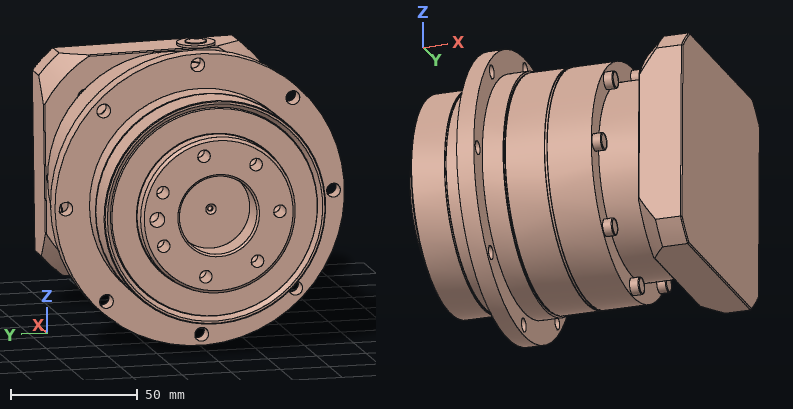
import cadquery as cq
import math

ROLL_ANGLE = 0.85

SEAL_FACE_X = 6.5
PILOT_FRONT_X = 5.7
PILOT_GROOVE_X = 19.8
FLANGE_FRONT_X = 30.0
FLANGE_REAR_X = 37.2
COLLAR_REAR_X = 45.9
BODY_GROOVE_X = 63.0
BODY_REAR_X = 82.7
PLATE_FRONT_X = 101.1
OVERALL_LENGTH = 119.5

OUTPUT_DIAMETER = 63.0
OUTPUT_LENGTH = 17.9
OUTPUT_CHAMFER = 1.2
BORE_DIAMETER = 31.5
BORE_DEPTH = 12.2
BORE_CHAMFER = 0.8
CENTER_DRILL_DIAMETER = 4.2
CENTER_PILOT_DIAMETER = 2.0
CENTER_PILOT_DEPTH = 1.2
OUTPUT_CIRCLE_RADIUS = 25.0
SCREW_HOLE_DIAMETER = 5.0
DOWEL_HOLE_DIAMETER = 6.0
OUTPUT_HOLE_COUNT = 7
OUTPUT_HOLE_DEPTH = 9.6
DRILL_POINT_ANGLE = 118.0

PILOT_FRONT_DIAMETER = 90.2
PILOT_REAR_DIAMETER = 89.9
PILOT_CHAMFER = 0.4
LIP_INNER_RADIUS = 43.9
SEAL_OUTER_RADIUS = 42.2
SEAL_CHAMFER = 0.4
FLANGE_DIAMETER = 118.0
COLLAR_DIAMETER = 98.2
BODY_DIAMETER = 97.0
NECK_DIAMETER = 80.1
FINE_GROOVE_WIDTH = 0.6
BODY_GROOVE_WIDTH = 1.1
GROOVE_DEPTH = 0.4

FLANGE_HOLE_DIAMETER = 5.5
FLANGE_CIRCLE_RADIUS = 54.5
FLANGE_HOLE_COUNT = 8

HEAD_DIAMETER = 7.0
HEAD_LENGTH = 4.0
HEAD_CHAMFER = 0.4
HEAD_CIRCLE_RADIUS = 44.3
HEAD_COUNT = 8

PLATE_WIDTH = 90.0
PLATE_CORNER_RADIUS = 58.0
PLATE_FRONT_RADIUS = 51.7
PLATE_CONE_LENGTH = 7.4
PLATE_EDGE_CHAMFER = 0.5

PLUG_X = 107.4
PLUG_Y = -18.9
PLUG_DIAMETER = 15.2
PLUG_THICKNESS = 1.0
PLUG_BOSS_DIAMETER = 8.5
PLUG_BOSS_HEIGHT = 0.4


def revolve_about_axis(points):
    """Revolve a closed (x, radius) outline about the X axis."""
    return cq.Workplane("XY").polyline(points).close().revolve(360, (0, 0), (1, 0))


def cylinder(x_start, length, diameter, y=0.0, z=0.0):
    """Cylinder parallel to X, its base centred at (x_start, y, z)."""
    solid = cq.Solid.makeCylinder(diameter / 2, length, cq.Vector(x_start, y, z), cq.Vector(1, 0, 0))
    return cq.Workplane(solid)


def circle_positions(count, radius, start_angle=0.0):
    """Evenly spaced (y, z) places on a circle about the axis."""
    angles = [math.radians(start_angle + 360 / count * i) for i in range(count)]
    return [(radius * math.cos(a), radius * math.sin(a)) for a in angles]


def roll(body):
    """Turn a finished body to its installed angle about the gearhead axis."""
    return body.rotate((0, 0, 0), (1, 0, 0), -ROLL_ANGLE)


def blind_hole(diameter, y, z):
    """Cutter for a drilled hole from the front face with a conical end."""
    radius = diameter / 2
    point_length = radius / math.tan(math.radians(DRILL_POINT_ANGLE / 2))
    outline = [
        (0, 0),
        (0, radius),
        (OUTPUT_HOLE_DEPTH, radius),
        (OUTPUT_HOLE_DEPTH + point_length, 0),
    ]
    return revolve_about_axis(outline).translate((0, y, z))


def make_output_flange():
    outer_radius = OUTPUT_DIAMETER / 2
    bore_radius = BORE_DIAMETER / 2
    drill_radius = CENTER_DRILL_DIAMETER / 2
    pilot_radius = CENTER_PILOT_DIAMETER / 2
    countersink_end = BORE_DEPTH + drill_radius - pilot_radius
    pilot_end = countersink_end + CENTER_PILOT_DEPTH
    flange = revolve_about_axis([
        (0, bore_radius + BORE_CHAMFER),
        (0, outer_radius - OUTPUT_CHAMFER),
        (OUTPUT_CHAMFER, outer_radius),
        (OUTPUT_LENGTH, outer_radius),
        (OUTPUT_LENGTH, 0),
        (pilot_end + pilot_radius, 0),
        (pilot_end, pilot_radius),
        (countersink_end, pilot_radius),
        (BORE_DEPTH, drill_radius),
        (BORE_DEPTH, bore_radius),
        (BORE_CHAMFER, bore_radius),
    ])
    for y, z in circle_positions(OUTPUT_HOLE_COUNT, OUTPUT_CIRCLE_RADIUS, start_angle=180):
        flange = flange.cut(blind_hole(SCREW_HOLE_DIAMETER, y, z))
    return flange.cut(blind_hole(DOWEL_HOLE_DIAMETER, OUTPUT_CIRCLE_RADIUS, 0))


def make_barrel():
    """Turned housing with the seat for the output flange and the seal recess."""
    seat_radius = OUTPUT_DIAMETER / 2
    pilot_front_radius = PILOT_FRONT_DIAMETER / 2
    pilot_rear_radius = PILOT_REAR_DIAMETER / 2
    flange_radius = FLANGE_DIAMETER / 2
    collar_radius = COLLAR_DIAMETER / 2
    body_radius = BODY_DIAMETER / 2
    neck_radius = NECK_DIAMETER / 2
    lip_cone_end = PILOT_FRONT_X + LIP_INNER_RADIUS - SEAL_OUTER_RADIUS
    return revolve_about_axis([
        (OUTPUT_LENGTH, 0),
        (OUTPUT_LENGTH, seat_radius),
        (SEAL_FACE_X + SEAL_CHAMFER, seat_radius),
        (SEAL_FACE_X, seat_radius + SEAL_CHAMFER),
        (SEAL_FACE_X, SEAL_OUTER_RADIUS - SEAL_CHAMFER),
        (lip_cone_end, SEAL_OUTER_RADIUS),
        (PILOT_FRONT_X, LIP_INNER_RADIUS),
        (PILOT_FRONT_X, pilot_front_radius - PILOT_CHAMFER),
        (PILOT_FRONT_X + PILOT_CHAMFER, pilot_front_radius),
        (PILOT_GROOVE_X, pilot_front_radius),
        (PILOT_GROOVE_X, pilot_rear_radius),
        (FLANGE_FRONT_X, pilot_rear_radius),
        (FLANGE_FRONT_X, flange_radius),
        (FLANGE_REAR_X, flange_radius),
        (FLANGE_REAR_X, collar_radius),
        (COLLAR_REAR_X, collar_radius),
        (COLLAR_REAR_X, body_radius),
        (BODY_REAR_X, body_radius),
        (BODY_REAR_X, neck_radius),
        (PLATE_FRONT_X, neck_radius),
        (PLATE_FRONT_X, 0),
    ])


def groove_ring(x_start, width, diameter):
    """Ring that cuts a shallow groove into a cylinder of the given diameter."""
    outer = cylinder(x_start, width, diameter + GROOVE_DEPTH)
    return outer.cut(cylinder(x_start, width, diameter - 2 * GROOVE_DEPTH))


def make_adapter_plate():
    """Square plate whose corners are turned round and tapered toward the front."""
    length = OVERALL_LENGTH - PLATE_FRONT_X
    square = (
        cq.Workplane("YZ", origin=(PLATE_FRONT_X, 0, 0))
        .rect(PLATE_WIDTH, PLATE_WIDTH)
        .extrude(length)
        .faces("<X or >X")
        .chamfer(PLATE_EDGE_CHAMFER)
    )
    turned = revolve_about_axis([
        (PLATE_FRONT_X, 0),
        (PLATE_FRONT_X, PLATE_FRONT_RADIUS),
        (PLATE_FRONT_X + PLATE_CONE_LENGTH, PLATE_CORNER_RADIUS),
        (OVERALL_LENGTH - PLATE_EDGE_CHAMFER, PLATE_CORNER_RADIUS),
        (OVERALL_LENGTH, PLATE_CORNER_RADIUS - PLATE_EDGE_CHAMFER),
        (OVERALL_LENGTH, 0),
    ])
    return square.intersect(turned)


def make_cover_plug():
    return (
        cq.Workplane("XY", origin=(PLUG_X, PLUG_Y, PLATE_WIDTH / 2))
        .circle(PLUG_DIAMETER / 2)
        .extrude(PLUG_THICKNESS)
        .faces(">Z")
        .workplane()
        .circle(PLUG_BOSS_DIAMETER / 2)
        .extrude(PLUG_BOSS_HEIGHT)
    )


def make_housing():
    housing = make_barrel()
    housing = housing.cut(groove_ring(PILOT_GROOVE_X, FINE_GROOVE_WIDTH, PILOT_FRONT_DIAMETER))
    housing = housing.cut(groove_ring(COLLAR_REAR_X, FINE_GROOVE_WIDTH, BODY_DIAMETER))
    housing = housing.cut(groove_ring(BODY_GROOVE_X, BODY_GROOVE_WIDTH, BODY_DIAMETER))
    flange_thickness = FLANGE_REAR_X - FLANGE_FRONT_X
    for y, z in circle_positions(FLANGE_HOLE_COUNT, FLANGE_CIRCLE_RADIUS):
        housing = housing.cut(cylinder(FLANGE_FRONT_X, flange_thickness, FLANGE_HOLE_DIAMETER, y, z))
    for y, z in circle_positions(HEAD_COUNT, HEAD_CIRCLE_RADIUS):
        head = cylinder(BODY_REAR_X, HEAD_LENGTH, HEAD_DIAMETER, y, z).faces(">X").chamfer(HEAD_CHAMFER)
        housing = housing.union(head)
    return housing.union(make_adapter_plate()).union(make_cover_plug())


output_flange = roll(make_output_flange())
housing = roll(make_housing())

result = cq.Compound.makeCompound([output_flange.val(), housing.val()])